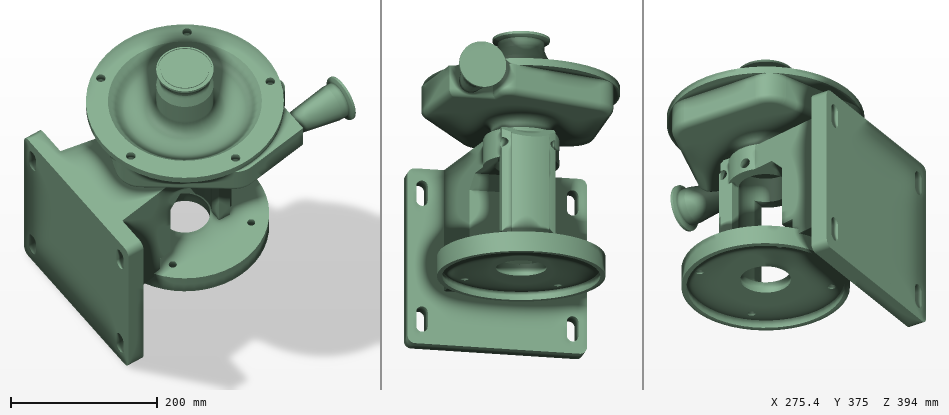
import cadquery as cq
import math

INLET_TOP = 394.0
INLET_NECK_BOTTOM = 375.5
INLET_CONE_BOTTOM = 360.5
FLANGE_TOP = 325.0
FLANGE_BOTTOM = 315.0
VOLUTE_BOTTOM = 273.0
COVER_TOP = 253.0
BRACKET_TOP = 250.0
COLLAR_BOTTOM = 213.0
BASE_TOP = 83.5
BASE_BOTTOM = 55.5

FLANGE_RADIUS = 135.0
FLANGE_HOLE_COUNT = 5
FLANGE_HOLE_CIRCLE_RADIUS = 121.5
FLANGE_HOLE_DIAMETER = 13.0
FLANGE_HOLE_DEPTH = FLANGE_TOP - FLANGE_BOTTOM
DISH_RADIUS = 105.0
DISH_DEPTH = 15.0
DISH_FILLET = DISH_DEPTH
DISH_RIM_ANGLE = math.radians(45)

INLET_RADIUS = 39.2
INLET_NECK_RADIUS = 32.0
FERRULE_RIM = 3.5
FERRULE_TAPER = 3.0
GASKET_GROOVE_INNER_RADIUS = 33.0
GASKET_GROOVE_OUTER_RADIUS = 37.0
GASKET_GROOVE_DEPTH = 1.5

VOLUTE_SIDES = 5
VOLUTE_APOTHEM = 115.2
VOLUTE_CORNER_RADIUS = 35.0
VOLUTE_BOTTOM_FILLET = 9.0
TONGUE_CORNER = (52.0, 137.8)
TONGUE_FOOT_X = 63.0
TONGUE_RADIUS = 18.0
OUTLET_BLOCK_Y = 110.3
OUTLET_BLOCK_X = 123.8

OUTLET_X = 95.2
OUTLET_Z = 292.5
OUTLET_END_Y = 195.0
OUTLET_NECK_Y = 176.5
OUTLET_CONE_Y = 112.5
OUTLET_RIM_RADIUS = 32.5
OUTLET_NECK_RADIUS = 25.5
OUTLET_CONE_RADIUS = 15.5
OUTLET_STUB_RADIUS = 12.7
OUTLET_STUB_DEPTH = 10.0

NECK_RADIUS = 41.7
NECK_FILLET = 10.0
COVER_RADIUS = 50.5

COLLAR_RADIUS = 52.0
BORE_RADIUS = 36.7
COLUMN_HALF_WIDTH = 37.0
COLUMN_FRONT_Y = 31.0
COLUMN_BACK_RADIUS = 61.5
COLUMN_RIB_HALF_WIDTH = 26.0
COLUMN_RIB_BACK_RADIUS = 64.7
COLUMN_SLANT_Y = 44.2
COLUMN_SLANT_Z = 235.7
SIDE_HOLE_DIAMETER = 15.0
COLUMN_HOLE_Y = 46.6
COLUMN_HOLE_Z = 230.0
COLLAR_HOLE_Z = 226.0

BASE_RADIUS = 115.0
BASE_BORE_RADIUS = 34.5
BASE_RECESS_RADIUS = 108.0
BASE_RECESS_DEPTH = 11.7
BASE_HOLE_PITCH = 130.0
BASE_HOLE_DIAMETER = 11.0

PLATE_SIZE = 250.0
PLATE_CORNER_RADIUS = 10.0
PLATE_FRONT_Y = -180.0
PLATE_BACK_Y = -155.0
SLOT_LENGTH = 36.0
SLOT_WIDTH = 16.0
SLOT_PITCH_X = 210.0
SLOT_PITCH_Z = 180.0
WEB_JOIN_Y = -15.0
WEB_JOIN_HALF_WIDTH = math.sqrt(COLLAR_RADIUS**2 - WEB_JOIN_Y**2)
WEB_PLATE_HALF_WIDTH = 74.3
WEB_INNER_Y = -64.0
WEB_BOTTOM = 77.0
WEB_CHAMFER = 18.5
WEB_RELIEF_LENGTH = 20.0
WEB_RELIEF_WIDTH = 33.0
WEB_RELIEF_HEIGHT = 21.0

OVERLAP = 1.0


def disc(radius, bottom, top):
    return cq.Workplane("XY").workplane(offset=bottom).circle(radius).extrude(top - bottom)


def revolved(profile):
    """Full turn about the vertical axis of the profile's own sketch plane."""
    return profile.revolve(360, (0, 0, 0), (0, 1, 0))


def block(half_width, front, back, bottom, top):
    """Box centred on X = 0."""
    size = (2.0 * half_width, back - front, top - bottom)
    return cq.Workplane("XY").box(*size, centered=(True, False, False)).translate((0, front, bottom))


def volute_corner(angle):
    """Sharp corner of the pentagon in the given direction, in degrees."""
    reach = VOLUTE_APOTHEM / math.cos(math.pi / VOLUTE_SIDES)
    direction = math.radians(angle)
    return (reach * math.cos(direction), reach * math.sin(direction))


def vertical_edge_at(point):
    middle = (point[0], point[1], (FLANGE_BOTTOM + VOLUTE_BOTTOM) / 2.0)
    return cq.selectors.NearestToPointSelector(middle)


def volute():
    step = 360.0 / VOLUTE_SIDES
    round_corners = [volute_corner(step * index) for index in range(2, VOLUTE_SIDES + 1)]
    outlet_corners = [(OUTLET_BLOCK_X, OUTLET_BLOCK_Y), (TONGUE_FOOT_X, OUTLET_BLOCK_Y)]
    outline = round_corners + outlet_corners + [TONGUE_CORNER]
    height = FLANGE_BOTTOM - VOLUTE_BOTTOM
    body = cq.Workplane("XY").workplane(offset=VOLUTE_BOTTOM).polyline(outline).close().extrude(height)
    for corner in round_corners:
        body = body.edges(vertical_edge_at(corner)).fillet(VOLUTE_CORNER_RADIUS)
    body = body.edges(vertical_edge_at(TONGUE_CORNER)).fillet(TONGUE_RADIUS)
    return body.faces("<Z").edges().fillet(VOLUTE_BOTTOM_FILLET)


def quarter_arc_inset(radius):
    """Distance of a quarter arc's midpoint from each of the two lines it touches."""
    return radius * (1.0 - math.sqrt(0.5))


def dish():
    """Ring-shaped recess with a 45 degree rim, rounded at the floor and around the inlet pipe."""
    floor = FLANGE_TOP - DISH_DEPTH
    half_angle = DISH_RIM_ANGLE / 2.0
    tangent = DISH_FILLET * math.tan(half_angle)
    floor_edge = DISH_RADIUS - DISH_DEPTH / math.tan(DISH_RIM_ANGLE) - tangent

    def rim_arc_point(angle):
        return (
            floor_edge + DISH_FILLET * math.sin(angle),
            floor + DISH_FILLET * (1.0 - math.cos(angle)),
        )

    inset = quarter_arc_inset(DISH_DEPTH)
    profile = (
        cq.Workplane("XZ")
        .moveTo(INLET_RADIUS, FLANGE_TOP)
        .threePointArc((INLET_RADIUS + inset, floor + inset), (INLET_RADIUS + DISH_DEPTH, floor))
        .lineTo(floor_edge, floor)
        .threePointArc(rim_arc_point(half_angle), rim_arc_point(DISH_RIM_ANGLE))
        .lineTo(DISH_RADIUS, FLANGE_TOP)
        .close()
    )
    return revolved(profile)


def casing():
    holes = (
        cq.Workplane("XY")
        .workplane(offset=FLANGE_TOP)
        .polarArray(FLANGE_HOLE_CIRCLE_RADIUS, 0, 360, FLANGE_HOLE_COUNT)
        .circle(FLANGE_HOLE_DIAMETER / 2.0)
        .extrude(-FLANGE_HOLE_DEPTH)
    )
    flange = disc(FLANGE_RADIUS, FLANGE_BOTTOM, FLANGE_TOP)
    return flange.union(volute()).cut(dish()).cut(holes)


def inlet():
    rim_bottom = INLET_TOP - FERRULE_RIM
    profile = [
        (0, FLANGE_TOP - DISH_DEPTH),
        (INLET_RADIUS, FLANGE_TOP - DISH_DEPTH),
        (INLET_RADIUS, INLET_CONE_BOTTOM),
        (INLET_NECK_RADIUS, INLET_NECK_BOTTOM),
        (INLET_NECK_RADIUS, rim_bottom - FERRULE_TAPER),
        (INLET_RADIUS, rim_bottom),
        (INLET_RADIUS, INLET_TOP),
        (0, INLET_TOP),
    ]
    pipe = revolved(cq.Workplane("XZ").polyline(profile).close())
    groove = disc(GASKET_GROOVE_OUTER_RADIUS, INLET_TOP - GASKET_GROOVE_DEPTH, INLET_TOP)
    groove = groove.cut(disc(GASKET_GROOVE_INNER_RADIUS, INLET_TOP - GASKET_GROOVE_DEPTH, INLET_TOP))
    return pipe.cut(groove)


def outlet():
    rim_start = OUTLET_END_Y - FERRULE_RIM
    stub_start = OUTLET_BLOCK_Y - OUTLET_STUB_DEPTH
    profile = [
        (0, stub_start),
        (OUTLET_STUB_RADIUS, stub_start),
        (OUTLET_STUB_RADIUS, OUTLET_CONE_Y),
        (OUTLET_CONE_RADIUS, OUTLET_CONE_Y),
        (OUTLET_NECK_RADIUS, OUTLET_NECK_Y),
        (OUTLET_NECK_RADIUS, rim_start - FERRULE_TAPER),
        (OUTLET_RIM_RADIUS, rim_start),
        (OUTLET_RIM_RADIUS, OUTLET_END_Y),
        (0, OUTLET_END_Y),
    ]
    nozzle = revolved(cq.Workplane("XY").polyline(profile).close())
    return nozzle.translate((OUTLET_X, 0, OUTLET_Z))


def neck():
    inset = quarter_arc_inset(NECK_FILLET)
    arc_middle = (NECK_RADIUS + inset, VOLUTE_BOTTOM - inset)
    profile = (
        cq.Workplane("XZ")
        .moveTo(0, BRACKET_TOP)
        .lineTo(COVER_RADIUS, BRACKET_TOP)
        .lineTo(COVER_RADIUS, COVER_TOP)
        .lineTo(NECK_RADIUS, COVER_TOP)
        .lineTo(NECK_RADIUS, VOLUTE_BOTTOM - NECK_FILLET)
        .threePointArc(arc_middle, (NECK_RADIUS + NECK_FILLET, VOLUTE_BOTTOM))
        .lineTo(0, VOLUTE_BOTTOM)
        .close()
    )
    return revolved(profile)


def column():
    """Rear post with a rib on its back; both backs are round about the pump axis and the top slants."""
    post = block(COLUMN_HALF_WIDTH, COLUMN_FRONT_Y, COLUMN_BACK_RADIUS, BASE_TOP, COVER_TOP)
    post = post.intersect(disc(COLUMN_BACK_RADIUS, BASE_TOP, COVER_TOP))
    rib = block(COLUMN_RIB_HALF_WIDTH, COLUMN_FRONT_Y, COLUMN_RIB_BACK_RADIUS, BASE_TOP, COVER_TOP)
    rib = rib.intersect(disc(COLUMN_RIB_BACK_RADIUS, BASE_TOP, COVER_TOP))
    slant = (
        cq.Workplane("YZ")
        .polyline([
            (COLUMN_SLANT_Y, COVER_TOP),
            (COLUMN_RIB_BACK_RADIUS, COLUMN_SLANT_Z),
            (COLUMN_RIB_BACK_RADIUS, COVER_TOP),
        ])
        .close()
        .extrude(COLUMN_HALF_WIDTH, both=True)
    )
    return post.union(rib).cut(slant)


def web():
    """Tapered bracket web with its underside cut away around the open bearing space."""
    plan = (
        cq.Workplane("XY")
        .workplane(offset=WEB_BOTTOM)
        .polyline([
            (-WEB_JOIN_HALF_WIDTH, WEB_JOIN_Y),
            (-WEB_PLATE_HALF_WIDTH, PLATE_BACK_Y),
            (WEB_PLATE_HALF_WIDTH, PLATE_BACK_Y),
            (WEB_JOIN_HALF_WIDTH, WEB_JOIN_Y),
        ])
        .close()
        .extrude(BRACKET_TOP - WEB_BOTTOM)
    )
    side = (
        cq.Workplane("YZ")
        .polyline([
            (WEB_JOIN_Y, BRACKET_TOP),
            (PLATE_BACK_Y, BRACKET_TOP),
            (PLATE_BACK_Y, WEB_BOTTOM),
            (WEB_INNER_Y, WEB_BOTTOM),
            (WEB_INNER_Y, COLLAR_BOTTOM - WEB_CHAMFER),
            (WEB_INNER_Y + WEB_CHAMFER, COLLAR_BOTTOM),
            (WEB_JOIN_Y, COLLAR_BOTTOM),
        ])
        .close()
        .extrude(WEB_PLATE_HALF_WIDTH, both=True)
    )
    return plan.intersect(side).cut(web_relief(1)).cut(web_relief(-1))


def web_relief(hand):
    """Diagonal cut across a lower inner corner of the web, clearing a base bolt."""
    taper = (WEB_PLATE_HALF_WIDTH - WEB_JOIN_HALF_WIDTH) / (WEB_JOIN_Y - PLATE_BACK_Y)
    end_y = WEB_INNER_Y - WEB_RELIEF_LENGTH
    end_x = WEB_PLATE_HALF_WIDTH - taper * (end_y - PLATE_BACK_Y)
    corner = [
        (hand * end_x, end_y),
        (hand * (end_x - WEB_RELIEF_WIDTH), WEB_INNER_Y),
        (hand * end_x, WEB_INNER_Y),
    ]
    prism = cq.Workplane("XY").workplane(offset=BASE_TOP).polyline(corner).close()
    return prism.extrude(WEB_RELIEF_HEIGHT)


def base_flange():
    holes = (
        cq.Workplane("XY")
        .workplane(offset=BASE_BOTTOM)
        .rect(BASE_HOLE_PITCH, BASE_HOLE_PITCH, forConstruction=True)
        .vertices()
        .circle(BASE_HOLE_DIAMETER / 2.0)
        .extrude(BASE_TOP - BASE_BOTTOM)
    )
    ring = disc(BASE_RADIUS, BASE_BOTTOM, BASE_TOP).cut(disc(BASE_BORE_RADIUS, BASE_BOTTOM, BASE_TOP))
    recess = disc(BASE_RECESS_RADIUS, BASE_BOTTOM, BASE_BOTTOM + BASE_RECESS_DEPTH)
    return ring.cut(recess).cut(holes)


def mounting_plate():
    thickness = PLATE_BACK_Y - PLATE_FRONT_Y
    plate = block(PLATE_SIZE / 2.0, PLATE_FRONT_Y, PLATE_BACK_Y, 0, PLATE_SIZE)
    plate = plate.edges("|Y").fillet(PLATE_CORNER_RADIUS)
    slots = (
        cq.Workplane("XZ", origin=(0, PLATE_BACK_Y, PLATE_SIZE / 2.0))
        .rect(SLOT_PITCH_X, SLOT_PITCH_Z, forConstruction=True)
        .vertices()
        .slot2D(SLOT_LENGTH, SLOT_WIDTH, 90)
        .extrude(thickness)
    )
    return plate.cut(slots)


def side_hole(y, z, length):
    """Hole along X, starting outside the collar on the -X side."""
    start = (-COLLAR_RADIUS - OVERLAP, y, z)
    return cq.Workplane("YZ", origin=start).circle(SIDE_HOLE_DIAMETER / 2.0).extrude(length)


def bracket():
    frame = disc(COLLAR_RADIUS, COLLAR_BOTTOM, BRACKET_TOP).union(column()).union(web())
    frame = frame.cut(disc(BORE_RADIUS, BASE_TOP, BRACKET_TOP))
    frame = frame.cut(side_hole(COLUMN_HOLE_Y, COLUMN_HOLE_Z, 2.0 * (COLLAR_RADIUS + OVERLAP)))
    frame = frame.cut(side_hole(0, COLLAR_HOLE_Z, COLLAR_RADIUS))
    return frame.union(base_flange()).union(mounting_plate())


result = casing().union(inlet()).union(outlet()).union(neck()).union(bracket())